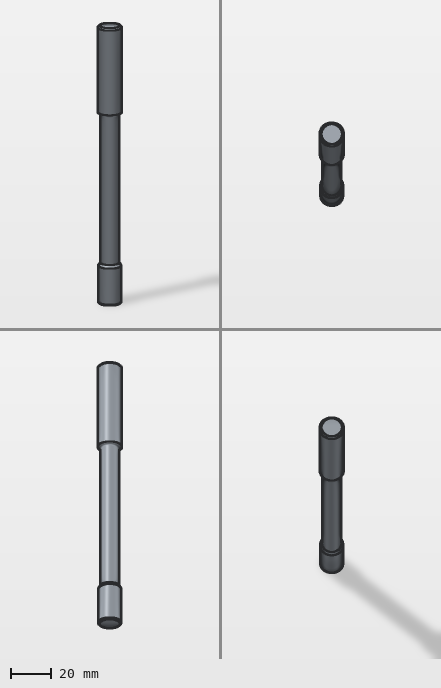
import cadquery as cq
import math

total_height = 142.0
head_diameter = 12.0
shank_diameter = 9.5
foot_diameter = 11.5

head_length = 44.3
foot_length = 20.7
taper_height = 1.5

head_chamfer = 1.0
neck_radius = 2.0
foot_chamfer = 0.7

head_radius = head_diameter / 2
shank_radius = shank_diameter / 2
foot_radius = foot_diameter / 2

top = total_height / 2
bottom = -total_height / 2
head_bottom = top - head_length
foot_top = bottom + foot_length


def revolve_about_z(outline):
    """Turn a closed half outline in the XZ plane into a solid of revolution."""
    return outline.close().revolve(360, (0, 0, 0), (0, 1, 0))


def make_rod():
    """Shank and chamfered head in one piece, joined by a concave neck."""
    neck_center_x = shank_radius + neck_radius
    sweep = math.acos((neck_center_x - head_radius) / neck_radius)
    neck_bottom = head_bottom - neck_radius * math.sin(sweep)
    neck_middle = (
        neck_center_x - neck_radius * math.cos(sweep / 2),
        neck_bottom + neck_radius * math.sin(sweep / 2),
    )
    outline = (
        cq.Workplane("XZ")
        .moveTo(0, foot_top)
        .lineTo(shank_radius, foot_top)
        .lineTo(shank_radius, neck_bottom)
        .threePointArc(neck_middle, (head_radius, head_bottom))
        .lineTo(head_radius, top - head_chamfer)
        .lineTo(head_radius - head_chamfer, top)
        .lineTo(0, top)
    )
    return revolve_about_z(outline)


def make_foot():
    """Foot that tapers to the shank diameter above and is chamfered below."""
    outline = (
        cq.Workplane("XZ")
        .moveTo(0, bottom)
        .lineTo(foot_radius - foot_chamfer, bottom)
        .lineTo(foot_radius, bottom + foot_chamfer)
        .lineTo(foot_radius, foot_top - taper_height)
        .lineTo(shank_radius, foot_top)
        .lineTo(0, foot_top)
    )
    return revolve_about_z(outline)


rod = make_rod()
foot = make_foot()
result = cq.Compound.makeCompound([rod.val(), foot.val()])